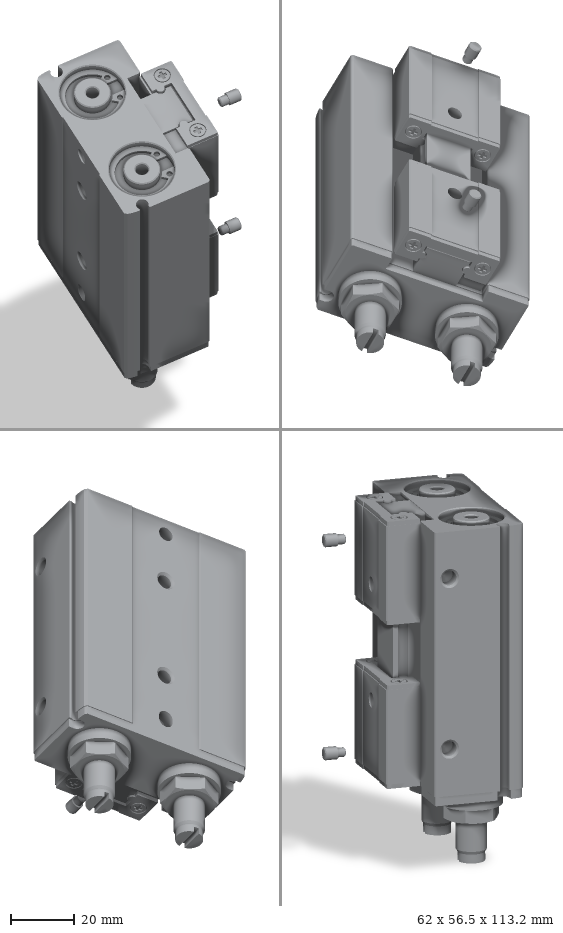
import cadquery as cq
import math

HOUSING_WIDTH = 62.0
FRONT_Y = -13.0
WING_Y = 17.0
SLOT_FLOOR_Y = 12.2
SLOT_WIDTH = 32.8
CORNER_RADIUS = 0.9
SLOT_EDGE_CHAMFER = 0.5
HOUSING_TOP = 112.7
PLATE_BOTTOM = 22.9
PLATE_TOP = 25.9
PLATE_INSET = 0.3
FRONT_GROOVE_WIDTH = 24.7

LOWER_LIP_X = 30.7
FLANK_END_X = 30.1
FLANK_END_Y = -12.1
FLANK_RADIUS = 15.8
FRONT_EDGE_X = 29.3
SENSOR_SLOT_X = 29.0
SENSOR_SLOT_Y = -6.3
SENSOR_SLOT_DIAMETER = 4.0
SENSOR_SLOT_MOUTH = 3.2

RAIL_WIDTH = 14.9
RAIL_TOP_Y = 23.0
RAIL_TOP_SETBACK = 0.2
TRACK_X = 7.9
TRACK_Y = 19.6
TRACK_RADIUS = 1.7

BORE_SPACING = 33.5
BORE_DIAMETER = 20.8
RIM_CHAMFER = 0.3
BORE_DEPTH = 3.4
ROD_END_DIAMETER = 11.5
ROD_HOLE_DIAMETER = 4.2
ROD_HOLE_DEPTH = 6.8
ROD_HOLE_CHAMFER = 0.3
RING_INNER_DIAMETER = 17.2
RING_THICKNESS = 1.1
RING_GAP = 4.8
LUG_INNER_RADIUS = 6.3
LUG_HALF_ANGLE = 41
LUG_HOLE_X = 4.3
LUG_HOLE_Y = 7.6
LUG_HOLE_DIAMETER = 2.0
COVER_DIAMETER = 20.0
COVER_BOTTOM = 21.0

DRILL_POINT_ANGLE = 118
THROUGH_HOLE_DIAMETER = 4.9
THROUGH_HOLE_CHAMFER = 0.8
THROUGH_HOLE_HEIGHTS = (50.4, 88.4)
LOCATING_DIAMETER = 5.0
LOCATING_DEPTH = 4.5
LOCATING_HOLE_Z = 107.0
LOCATING_SLOT_Z = 32.9
LOCATING_SLOT_LENGTH = 6.1
PORT_Y = 12.0
PORT_HEIGHTS = (41.3, 97.4)
PORT_DIAMETER = 4.9
PORT_CHAMFER = 0.7
PORT_DEPTH = 4.5

BLOCK_LENGTH = 34.0
BLOCK_HEIGHTS = (42.5, 96.2)
BLOCK_WIDTH = 31.7
BLOCK_BACK_Y = 28.0
BLOCK_FRONT_Y = 16.2
BLOCK_EDGE_CHAMFER = 0.3
BLOCK_RELIEF_WIDTH = 16.3
BLOCK_RELIEF_DEPTH = 0.3
CAP_THICKNESS = 1.5
CAP_SIDE_INSET = 0.1
CAP_BACK_INSET = 0.3
CAP_FRONT_INSET = 0.6
BODY_RAIL_GAP = 0.2
BODY_TOOTH_RADIUS = 1.6
CAP_RAIL_GAP = 0.7
CAP_TOOTH_RADIUS = 1.4
LEG_CLEARANCE = 0.2
SCREW_X = 12.0
SCREW_Y = 22.4
SCREW_OUTER_DIAMETER = 5.4
SCREW_HEAD_DIAMETER = 4.8
SCREW_GROOVE_DEPTH = 0.6
CROSS_LENGTH = 2.9
CROSS_WIDTH = 1.0

WASHER_BOTTOM = 18.9
NUT_BOTTOM = 13.9
NUT_ACROSS_FLATS = 16.0
NUT_FACE_DIAMETER = 15.5
NUT_CHAMFER_HEIGHT = 0.6
STEM_DIAMETER = 10.0
STEM_BOTTOM = 4.0
TIP_DIAMETER = 8.8
TIP_TOP = 2.9
DRIVER_SLOT_WIDTH = 1.8
DRIVER_SLOT_DEPTH = 1.9

PIN_BACK_Y = 43.5
PIN_SHOULDER_Y = 39.3
PIN_FRONT_Y = 36.5
PIN_DIAMETER = 4.2
PIN_CHAMFER = 0.3
PINS = ((34.2, 3.0), (104.1, 3.3))


def box(x_range, y_range, z_range):
    """Box between the given limits along each axis."""
    size = [high - low for low, high in (x_range, y_range, z_range)]
    corner = (x_range[0], y_range[0], z_range[0])
    return cq.Workplane("XY").box(*size, centered=False).translate(corner)


def cylinder(diameter, bottom, top, x=0, y=0):
    """Upright cylinder."""
    return cq.Workplane("XY").center(x, y).circle(diameter / 2).extrude(top - bottom).translate((0, 0, bottom))


def drilled_hole(diameter, depth, chamfer, point, direction):
    """Blind drilled hole with a conical bottom and a chamfered mouth, as a cutting tool."""
    radius = diameter / 2
    point_depth = radius / math.tan(math.radians(DRILL_POINT_ANGLE / 2))
    half_section = (
        cq.Workplane("XY")
        .polyline([
            (0, 0),
            (radius + chamfer, 0),
            (radius, chamfer),
            (radius, depth),
            (0, depth + point_depth),
        ])
        .close()
    )
    solid = half_section.revolve(360, (0, 0, 0), (0, 1, 0)).val()
    plane = cq.Plane(origin=point, normal=direction)
    return cq.Workplane(obj=solid.rotate(cq.Vector(), cq.Vector(1, 0, 0), 90).moved(cq.Location(plane)))


def housing_outline():
    """Cross-section of the housing with its rail slot and two sensor slots."""
    half = HOUSING_WIDTH / 2
    slot_half = SLOT_WIDTH / 2
    half_mouth = SENSOR_SLOT_MOUTH / 2
    mouth_top = SENSOR_SLOT_Y + half_mouth
    mouth_bottom = SENSOR_SLOT_Y - half_mouth
    radius = SENSOR_SLOT_DIAMETER / 2
    neck_x = SENSOR_SLOT_X + math.sqrt(radius**2 - half_mouth**2)
    right_half = (
        cq.Workplane("XY")
        .moveTo(0, FRONT_Y)
        .lineTo(FRONT_EDGE_X, FRONT_Y)
        .lineTo(FLANK_END_X, FLANK_END_Y)
        .radiusArc((LOWER_LIP_X, mouth_bottom), -FLANK_RADIUS)
        .lineTo(neck_x, mouth_bottom)
        .threePointArc((SENSOR_SLOT_X - radius, SENSOR_SLOT_Y), (neck_x, mouth_top))
        .lineTo(half, mouth_top)
        .lineTo(half, WING_Y - CORNER_RADIUS)
        .radiusArc((half - CORNER_RADIUS, WING_Y), -CORNER_RADIUS)
        .lineTo(slot_half + SLOT_EDGE_CHAMFER, WING_Y)
        .lineTo(slot_half, WING_Y - SLOT_EDGE_CHAMFER)
        .lineTo(slot_half, SLOT_FLOOR_Y)
        .lineTo(0, SLOT_FLOOR_Y)
    )
    return right_half.mirrorY()


def make_end_plate():
    """Plate below the housing, inset all round, with open-sided sensor slots."""
    height = PLATE_TOP - PLATE_BOTTOM
    plate = housing_outline().offset2D(-PLATE_INSET, "intersection").extrude(height)
    plate = plate.translate((0, 0, PLATE_BOTTOM))
    half_notch = SENSOR_SLOT_DIAMETER / 2 + PLATE_INSET
    y_range = (SENSOR_SLOT_Y - half_notch, SENSOR_SLOT_Y + half_notch)
    for x_range in ((-HOUSING_WIDTH / 2, -SENSOR_SLOT_X), (SENSOR_SLOT_X, HOUSING_WIDTH / 2)):
        plate = plate.cut(box(x_range, y_range, (PLATE_BOTTOM, PLATE_TOP)))
    return plate


def make_front_groove():
    """Cutting tool for the shallow groove along the front face."""
    floor_half = FRONT_GROOVE_WIDTH / 2
    mouth_half = floor_half + PLATE_INSET
    floor_y = FRONT_Y + PLATE_INSET
    section = cq.Workplane("XY").polyline([
        (-mouth_half, FRONT_Y),
        (mouth_half, FRONT_Y),
        (floor_half, floor_y),
        (-floor_half, floor_y),
    ])
    return section.close().extrude(HOUSING_TOP - PLATE_TOP).translate((0, 0, PLATE_TOP))


def make_rail():
    """Guide rail with a round ball track along each side."""
    rail_top = HOUSING_TOP - RAIL_TOP_SETBACK
    rail = box((-RAIL_WIDTH / 2, RAIL_WIDTH / 2), (SLOT_FLOOR_Y, RAIL_TOP_Y), (PLATE_TOP, rail_top))
    for side in (-1, 1):
        rail = rail.cut(cylinder(2 * TRACK_RADIUS, PLATE_TOP, rail_top, side * TRACK_X, TRACK_Y))
    return rail


def make_bore():
    """Cutting tool for a bore with a chamfered rim, standing on z = 0."""
    rim_diameter = BORE_DIAMETER + 2 * RIM_CHAMFER
    rim = cq.Workplane("XY").circle(rim_diameter / 2).extrude(-RIM_CHAMFER, taper=45)
    return cylinder(BORE_DIAMETER, 0, BORE_DEPTH).union(rim.translate((0, 0, BORE_DEPTH)))


def make_ring():
    """Retaining ring, open towards +Y, with two drilled lugs beside its gap."""
    radius = BORE_DIAMETER / 2
    angle = math.radians(LUG_HALF_ANGLE)
    reach = 2 * radius
    wedge = (
        cq.Workplane("XY")
        .polyline([(0, 0), (reach * math.sin(angle), reach * math.cos(angle)),
                   (-reach * math.sin(angle), reach * math.cos(angle))])
        .close()
        .extrude(RING_THICKNESS)
    )
    disc = cylinder(BORE_DIAMETER, 0, RING_THICKNESS)
    lugs = disc.intersect(wedge).cut(cylinder(2 * LUG_INNER_RADIUS, 0, RING_THICKNESS))
    ring = disc.cut(cylinder(RING_INNER_DIAMETER, 0, RING_THICKNESS)).union(lugs)
    ring = ring.cut(box((-RING_GAP / 2, RING_GAP / 2), (0, reach), (0, RING_THICKNESS)))
    for side in (-1, 1):
        ring = ring.cut(cylinder(LUG_HOLE_DIAMETER, 0, RING_THICKNESS, side * LUG_HOLE_X, LUG_HOLE_Y))
    return ring


def make_housing():
    floor_z = HOUSING_TOP - BORE_DEPTH
    body = housing_outline().extrude(HOUSING_TOP - PLATE_TOP).translate((0, 0, PLATE_TOP))
    housing = body.union(make_end_plate()).cut(make_front_groove())
    housing = housing.union(make_rail())

    for x in (-BORE_SPACING / 2, BORE_SPACING / 2):
        housing = housing.cut(make_bore().translate((x, 0, floor_z)))
        rod_end = cylinder(ROD_END_DIAMETER, floor_z, HOUSING_TOP, x).faces(">Z").chamfer(RIM_CHAMFER)
        housing = housing.union(rod_end)
        housing = housing.union(make_ring().translate((x, 0, floor_z)))
        housing = housing.cut(drilled_hole(
            ROD_HOLE_DIAMETER, ROD_HOLE_DEPTH, ROD_HOLE_CHAMFER, (x, 0, HOUSING_TOP), (0, 0, -1)))
        housing = housing.union(cylinder(COVER_DIAMETER, COVER_BOTTOM, PLATE_BOTTOM, x))

    groove_y = FRONT_Y + PLATE_INSET
    for z in THROUGH_HOLE_HEIGHTS:
        housing = housing.cut(drilled_hole(
            THROUGH_HOLE_DIAMETER, RAIL_TOP_Y - groove_y, THROUGH_HOLE_CHAMFER, (0, groove_y, z), (0, 1, 0)))
    front = cq.Workplane("XZ", origin=(0, groove_y, 0))
    housing = housing.cut(
        front.center(0, LOCATING_HOLE_Z).circle(LOCATING_DIAMETER / 2).extrude(-LOCATING_DEPTH))
    housing = housing.cut(
        front.center(0, LOCATING_SLOT_Z)
        .slot2D(LOCATING_SLOT_LENGTH, LOCATING_DIAMETER, 90)
        .extrude(-LOCATING_DEPTH)
    )
    for z in PORT_HEIGHTS:
        housing = housing.cut(drilled_hole(
            PORT_DIAMETER, PORT_DEPTH, PORT_CHAMFER, (-HOUSING_WIDTH / 2, PORT_Y, z), (1, 0, 0)))
    return housing


def block_segment(width, back_y, front_y, rail_gap, tooth_radius, z_range):
    """Length of guide block wrapped round the rail, with a tooth in each ball track."""
    half_width = width / 2
    segment = box((-half_width, half_width), (front_y, back_y), z_range)
    segment = segment.edges("|Z and >Y").chamfer(BLOCK_EDGE_CHAMFER)
    half_relief = BLOCK_RELIEF_WIDTH / 2
    segment = segment.cut(box((-half_relief, half_relief), (back_y - BLOCK_RELIEF_DEPTH, back_y), z_range))
    half_channel = RAIL_WIDTH / 2 + rail_gap
    channel = box((-half_channel, half_channel), (front_y, RAIL_TOP_Y + rail_gap), z_range)
    for side in (-1, 1):
        channel = channel.cut(cylinder(2 * tooth_radius, *z_range, side * TRACK_X, TRACK_Y))
    return segment.cut(channel)


def make_block():
    """Guide block centred on z = 0: a steel body with a front leg on +X, and a cap at each end."""
    half_length = BLOCK_LENGTH / 2
    half_body = half_length - CAP_THICKNESS
    body_range = (-half_body, half_body)
    block = block_segment(
        BLOCK_WIDTH, BLOCK_BACK_Y, BLOCK_FRONT_Y, BODY_RAIL_GAP, BODY_TOOTH_RADIUS, body_range)
    leg_x = (RAIL_WIDTH / 2 + BODY_RAIL_GAP, BLOCK_WIDTH / 2)
    block = block.union(box(leg_x, (SLOT_FLOOR_Y + LEG_CLEARANCE, BLOCK_FRONT_Y), body_range))
    for z_range in ((-half_length, -half_body), (half_body, half_length)):
        cap = block_segment(
            BLOCK_WIDTH - 2 * CAP_SIDE_INSET,
            BLOCK_BACK_Y - CAP_BACK_INSET,
            BLOCK_FRONT_Y + CAP_FRONT_INSET,
            CAP_RAIL_GAP,
            CAP_TOOTH_RADIUS,
            z_range,
        )
        block = block.union(cap)

    for x in (-SCREW_X, SCREW_X):
        screw = make_screw_recess().translate((x, SCREW_Y, half_length))
        block = block.cut(screw).cut(screw.mirror("XY"))
    return block


def make_screw_recess():
    """Cutting tool for the ring round a screw head and the cross in it, below z = 0."""
    ring = cylinder(SCREW_OUTER_DIAMETER, -SCREW_GROOVE_DEPTH, 0)
    ring = ring.cut(cylinder(SCREW_HEAD_DIAMETER, -SCREW_GROOVE_DEPTH, 0))
    along, across = (-CROSS_LENGTH / 2, CROSS_LENGTH / 2), (-CROSS_WIDTH / 2, CROSS_WIDTH / 2)
    depth = (-SCREW_GROOVE_DEPTH, 0)
    return ring.union(box(along, across, depth)).union(box(across, along, depth))


def make_blocks():
    """Two blocks; the lower one is turned half round, so its leg is on -X."""
    lower_z, upper_z = BLOCK_HEIGHTS
    blocks = []
    for z, turn in ((lower_z, 180), (upper_z, 0)):
        block = make_block().rotate((0, 0, 0), (0, 1, 0), turn).translate((0, 0, z))
        for hole_z in THROUGH_HOLE_HEIGHTS:
            hole = cq.Workplane("XZ").center(0, hole_z).circle(THROUGH_HOLE_DIAMETER / 2)
            block = block.cut(hole.extrude(-BLOCK_BACK_Y))
        blocks.append(block)
    return blocks


def make_absorber(x):
    """Washer, hexagon nut and slotted stem in one piece."""
    absorber = cylinder(COVER_DIAMETER, WASHER_BOTTOM, COVER_BOTTOM)
    across_corners = NUT_ACROSS_FLATS / math.cos(math.pi / 6)
    nut = cq.Workplane("XY").polygon(6, across_corners).extrude(WASHER_BOTTOM - NUT_BOTTOM)
    nut = nut.rotate((0, 0, 0), (0, 0, 1), 30).translate((0, 0, NUT_BOTTOM))
    envelope = cylinder(across_corners, NUT_BOTTOM, WASHER_BOTTOM).faces("<Z").chamfer(
        NUT_CHAMFER_HEIGHT, (across_corners - NUT_FACE_DIAMETER) / 2)
    absorber = absorber.union(nut.intersect(envelope))
    stem = cylinder(STEM_DIAMETER, TIP_TOP, NUT_BOTTOM).faces("<Z").chamfer(
        STEM_BOTTOM - TIP_TOP, (STEM_DIAMETER - TIP_DIAMETER) / 2)
    absorber = absorber.union(stem)
    absorber = absorber.union(cylinder(TIP_DIAMETER, 0, TIP_TOP))
    absorber = absorber.cut(box(
        (-DRIVER_SLOT_WIDTH / 2, DRIVER_SLOT_WIDTH / 2),
        (-TIP_DIAMETER, TIP_DIAMETER),
        (0, DRIVER_SLOT_DEPTH),
    ))
    return absorber.translate((x, 0, 0))


def make_pin(z, nose_diameter):
    """Stepped pin along Y with its thin nose towards the front."""
    head = cq.Workplane("XZ", origin=(0, PIN_BACK_Y, z)).circle(PIN_DIAMETER / 2)
    head = head.extrude(PIN_BACK_Y - PIN_SHOULDER_Y).faces(">Y").chamfer(PIN_CHAMFER)
    nose = cq.Workplane("XZ", origin=(0, PIN_SHOULDER_Y, z)).circle(nose_diameter / 2)
    nose = nose.extrude(PIN_SHOULDER_Y - PIN_FRONT_Y).faces("<Y").chamfer(PIN_CHAMFER)
    return head.union(nose)


housing = make_housing()
blocks = make_blocks()
absorbers = [make_absorber(x) for x in (-BORE_SPACING / 2, BORE_SPACING / 2)]
pins = [make_pin(z, nose_diameter) for z, nose_diameter in PINS]

result = cq.Compound.makeCompound([
    housing.val(),
    *[block.val() for block in blocks],
    *[absorber.val() for absorber in absorbers],
    *[pin.val() for pin in pins],
])